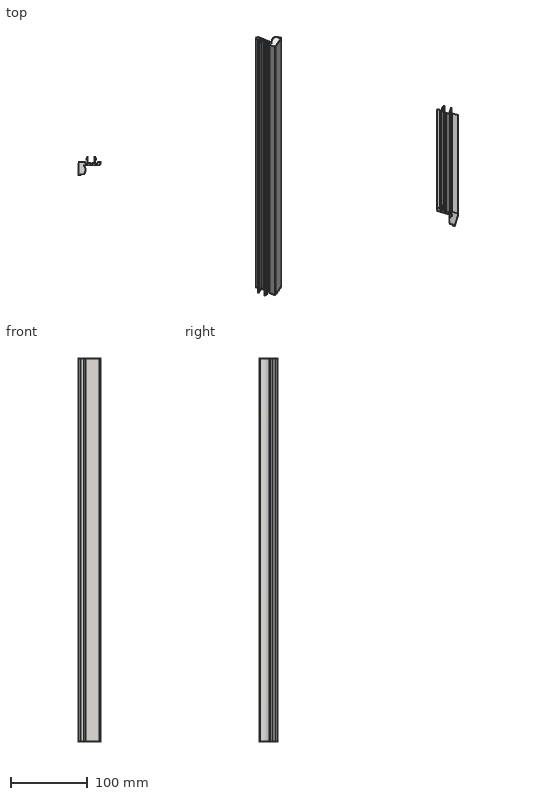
import cadquery as cq

LENGTH = 500.0
WIDTH = 29.0
DEPTH = 24.0

WALL_THICKNESS = 3.0
HEAD_TOP = 17.5
HEAD_WIDTH = 8.5
HEAD_TAPER = 0.5
TAPER_START = 14.0

WEB_BOTTOM = 13.0
WEB_TOP = 15.0

BEAD_BOTTOM = 1.0
BEAD_TOP = WEB_BOTTOM
BEAD_SHOULDER = 7.0
BEAD_REACH = 9.5

POST_CENTERS = (12.0, 21.5)
POST_THICKNESS = 1.0
BARB_REACH = 1.5
BARB_HEIGHT = 3.5
FOOT_REACH = 3.0
FOOT_HEIGHT = 1.0

CLIP_LEFT = 24.5
CLIP_FOOT_RIGHT = 27.5
CLIP_TOP = HEAD_TOP
CLIP_CHAMFER = 1.5


def extrude_outline(points):
    """Extrude a closed polygon in the XY plane over the full length."""
    return cq.Workplane("XY").polyline(points).close().extrude(LENGTH)


def make_wall_and_head():
    return extrude_outline([
        (0, 0),
        (WALL_THICKNESS, 0),
        (WALL_THICKNESS, WEB_BOTTOM),
        (BEAD_REACH, WEB_BOTTOM),
        (BEAD_REACH, WEB_TOP),
        (HEAD_WIDTH, HEAD_TOP),
        (HEAD_TAPER, HEAD_TOP),
        (0, TAPER_START),
    ])


def make_bead():
    middle = (BEAD_BOTTOM + BEAD_TOP) / 2
    return (
        cq.Workplane("XY")
        .moveTo(0, BEAD_BOTTOM)
        .lineTo(BEAD_SHOULDER, BEAD_BOTTOM)
        .threePointArc((BEAD_REACH, middle), (BEAD_SHOULDER, BEAD_TOP))
        .lineTo(0, BEAD_TOP)
        .close()
        .extrude(LENGTH)
    )


def make_web():
    return extrude_outline([
        (0, WEB_BOTTOM),
        (CLIP_FOOT_RIGHT, WEB_BOTTOM),
        (CLIP_FOOT_RIGHT, WEB_TOP),
        (0, WEB_TOP),
    ])


def make_post(center, outward):
    """Post with an outward barb and an inward foot; outward is -1 or +1 along X."""
    outer = center + outward * POST_THICKNESS / 2
    inner = center - outward * POST_THICKNESS / 2
    barb_bottom = DEPTH - BARB_HEIGHT
    foot_tip = inner - outward * FOOT_REACH
    return extrude_outline([
        (outer, WEB_BOTTOM),
        (outer, barb_bottom),
        (outer + outward * BARB_REACH, barb_bottom),
        (outer, DEPTH),
        (inner, DEPTH),
        (inner, WEB_TOP + FOOT_HEIGHT),
        (foot_tip, WEB_TOP + FOOT_HEIGHT),
        (foot_tip, WEB_BOTTOM),
    ])


def make_end_clip():
    return extrude_outline([
        (CLIP_LEFT, WEB_BOTTOM),
        (CLIP_FOOT_RIGHT, WEB_BOTTOM),
        (WIDTH, WEB_TOP),
        (WIDTH, CLIP_TOP),
        (CLIP_LEFT + CLIP_CHAMFER, CLIP_TOP),
        (CLIP_LEFT, CLIP_TOP - CLIP_CHAMFER),
    ])


result = make_wall_and_head().union(make_bead()).union(make_web()).union(make_end_clip())
for post_center, post_outward in zip(POST_CENTERS, (-1, 1)):
    result = result.union(make_post(post_center, post_outward))